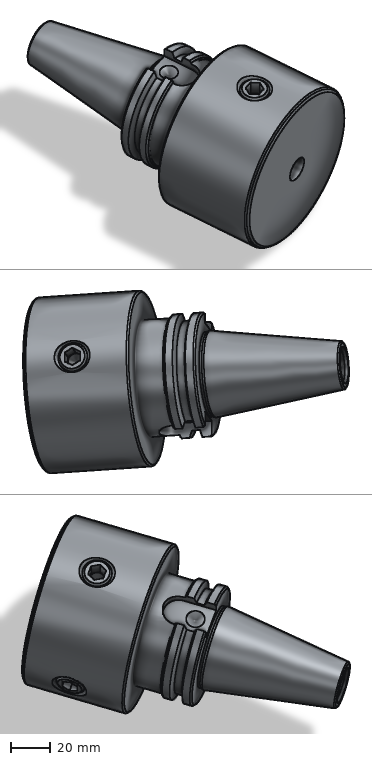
import cadquery as cq
import math

total_length = 158.2
taper_end_x = 68.4
flange_start_x = 70.9
groove_center_x = 79.3
flange_end_x = 87.5
head_start_x = 102.9

taper_ratio = 7 / 24
taper_large_d = 44.6
taper_tip_chamfer = 0.8
relief_d = 43.7
relief_start_x = 69.6

flange_d = 63.6
flange_chamfer = 1.0
groove_bottom_d = 56.2
groove_top_width = 6.8
groove_bottom_width = 4.1

neck_d = 60.0
flange_root_fillet = 0.6
neck_fillet = 1.0
head_d = 90.0
head_back_chamfer = 1.0
gentle_bevel_length = 1.0
gentle_bevel_drop = 0.6
steep_bevel_length = 1.0
steep_bevel_drop = 1.3

bore_d = 13.0
thread_mouth_d = 16.8
thread_rim_d = 18.8
thread_rim_depth = 1.6
thread_mouth_depth = 4.9

slot_width = 16.3
slot_end_x = 96.5
upper_slot_floor = 25.0
lower_slot_floor = 22.5
dimple_d = 9.5

screw_angles = (0, -90)
screw_x = 132.1
screw_d = 15.2
screw_top = 44.5
screw_bottom = 23.0
screw_face_d = 13.0
screw_shoulder = screw_top - (screw_d - screw_face_d) / 2
hex_width = 8.0
hex_depth = 7.9

drill_tip_half_angle = math.radians(60)

fillet_middle_ratio = 1 - math.sqrt(0.5)


def cone_depth(diameter):
    """Depth of a drill-point cone with the given base diameter."""
    return diameter / 2 / math.tan(drill_tip_half_angle)


def revolve_about_z(points):
    """Solid of revolution from (radius, z) points."""
    return cq.Workplane("XZ").polyline(points).close().revolve(360, (0, 0, 0), (0, 1, 0))


def make_turned_blank():
    """Taper, flange, neck and head as one turned shape."""
    tip_r = (taper_large_d - taper_end_x * taper_ratio) / 2
    taper_r = taper_large_d / 2
    relief_r = relief_d / 2
    flange_r = flange_d / 2
    groove_r = groove_bottom_d / 2
    neck_r = neck_d / 2
    head_r = head_d / 2
    root_middle = flange_root_fillet * fillet_middle_ratio
    neck_middle = neck_fillet * fillet_middle_ratio
    steep_bevel_x = total_length - steep_bevel_length
    steep_bevel_r = head_r - gentle_bevel_drop
    return (
        cq.Workplane("XY")
        .moveTo(0, 0)
        .lineTo(0, tip_r - taper_tip_chamfer)
        .lineTo(taper_tip_chamfer, tip_r + taper_tip_chamfer * taper_ratio / 2)
        .lineTo(taper_end_x, taper_r)
        .lineTo(relief_start_x, relief_r)
        .lineTo(flange_start_x, relief_r)
        .lineTo(flange_start_x, flange_r - flange_chamfer)
        .lineTo(flange_start_x + flange_chamfer, flange_r)
        .lineTo(groove_center_x - groove_top_width / 2, flange_r)
        .lineTo(groove_center_x - groove_bottom_width / 2, groove_r)
        .lineTo(groove_center_x + groove_bottom_width / 2, groove_r)
        .lineTo(groove_center_x + groove_top_width / 2, flange_r)
        .lineTo(flange_end_x - flange_chamfer, flange_r)
        .lineTo(flange_end_x, flange_r - flange_chamfer)
        .lineTo(flange_end_x, neck_r + flange_root_fillet)
        .threePointArc(
            (flange_end_x + root_middle, neck_r + root_middle),
            (flange_end_x + flange_root_fillet, neck_r),
        )
        .lineTo(head_start_x - neck_fillet, neck_r)
        .threePointArc(
            (head_start_x - neck_middle, neck_r + neck_middle),
            (head_start_x, neck_r + neck_fillet),
        )
        .lineTo(head_start_x, head_r - head_back_chamfer)
        .lineTo(head_start_x + head_back_chamfer, head_r)
        .lineTo(steep_bevel_x - gentle_bevel_length, head_r)
        .lineTo(steep_bevel_x, steep_bevel_r)
        .lineTo(total_length, steep_bevel_r - steep_bevel_drop)
        .lineTo(total_length, 0)
        .close()
        .revolve(360, (0, 0, 0), (1, 0, 0))
    )


def make_axial_bore():
    """Through bore with a wider, chamfered mouth in the small end."""
    bore_r = bore_d / 2
    mouth_r = thread_mouth_d / 2
    return (
        cq.Workplane("XY")
        .polyline([
            (0, 0),
            (0, thread_rim_d / 2),
            (thread_rim_depth, mouth_r),
            (thread_mouth_depth, mouth_r),
            (thread_mouth_depth, bore_r),
            (total_length, bore_r),
            (total_length, 0),
        ])
        .close()
        .revolve(360, (0, 0, 0), (1, 0, 0))
    )


def make_drive_slot(floor):
    """Round-ended slot open towards the taper, cut upwards from its floor."""
    end_r = slot_width / 2
    height = flange_d / 2 - floor
    return (
        cq.Workplane("XY", origin=(0, 0, floor))
        .moveTo(flange_start_x, -end_r)
        .lineTo(slot_end_x - end_r, -end_r)
        .threePointArc((slot_end_x, 0), (slot_end_x - end_r, end_r))
        .lineTo(flange_start_x, end_r)
        .close()
        .extrude(height)
    )


def make_dimple():
    """Conical dimple in the floor of the upper slot."""
    cone = revolve_about_z([
        (0, upper_slot_floor),
        (dimple_d / 2, upper_slot_floor),
        (0, upper_slot_floor - cone_depth(dimple_d)),
    ])
    return cone.translate((groove_center_x, 0, 0))


def place_screw_feature(feature, angle):
    """Move a feature built on the Z axis to the screw station and turn it about X."""
    return feature.translate((screw_x, 0, 0)).rotate((0, 0, 0), (1, 0, 0), angle)


def make_screw_hole():
    """Blind hole for a clamping screw, widening at 45 degrees from the screw's shoulder."""
    hole_r = screw_d / 2
    mouth_top = head_d / 2
    return revolve_about_z([
        (0, screw_bottom),
        (hole_r, screw_bottom),
        (hole_r, screw_shoulder),
        (hole_r + mouth_top - screw_shoulder, mouth_top),
        (0, mouth_top),
    ])


def make_screw():
    """Clamping screw with a chamfered top and a hexagon socket."""
    screw_r = screw_d / 2
    face_r = screw_face_d / 2
    blank = revolve_about_z([
        (0, screw_bottom),
        (screw_r, screw_bottom),
        (screw_r, screw_shoulder),
        (face_r, screw_top),
        (0, screw_top),
    ])
    socket_floor = screw_top - hex_depth
    socket = (
        cq.Workplane("XY", origin=(0, 0, socket_floor))
        .polygon(6, hex_width, circumscribed=True)
        .extrude(hex_depth)
    )
    socket_tip = revolve_about_z([
        (0, socket_floor),
        (hex_width / 2, socket_floor),
        (0, socket_floor - cone_depth(hex_width)),
    ])
    return blank.cut(socket).cut(socket_tip)


def make_holder():
    """Tool holder with its bore, drive slots, dimple and screw holes."""
    holder = make_turned_blank().cut(make_axial_bore())
    holder = holder.cut(make_drive_slot(upper_slot_floor))
    lower_slot = make_drive_slot(lower_slot_floor).rotate((0, 0, 0), (1, 0, 0), 180)
    holder = holder.cut(lower_slot)
    holder = holder.cut(make_dimple())
    for angle in screw_angles:
        holder = holder.cut(place_screw_feature(make_screw_hole(), angle))
    return holder


holder = make_holder()
screws = [place_screw_feature(make_screw(), angle).val() for angle in screw_angles]

result = cq.Compound.makeCompound([holder.val(), *screws])